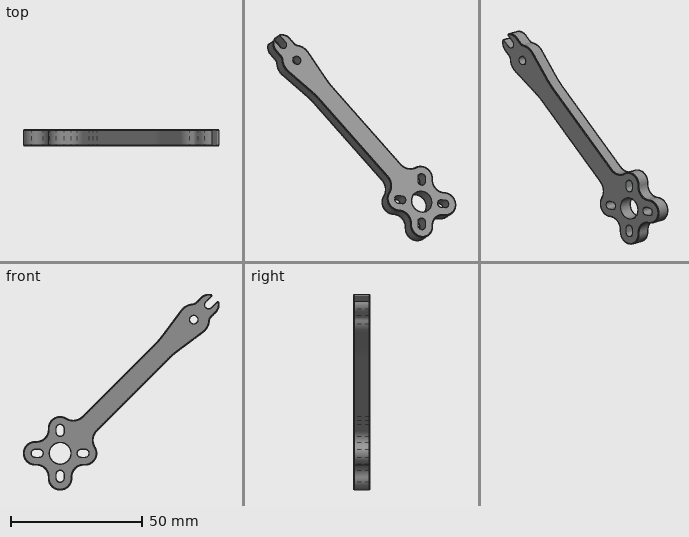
import cadquery as cq
import math

THICKNESS = 6.2
EDGE_CHAMFER = 0.3

TOLERANCE = 1e-6

LOBE_CENTRE = 9.5
LOBE_RADIUS = 4.5
VALLEY_RADIUS = 4.5
HUB_BORE_DIAMETER = 8.2
HUB_SLOT_INNER_CENTRE = 8.0
HUB_SLOT_OUTER_CENTRE = LOBE_CENTRE
HUB_SLOT_WIDTH = 3.0

NEAR_LOBE = 45.0
FAR_LOBE = 135.0
LOBE_DIRECTIONS = (NEAR_LOBE, FAR_LOBE, -FAR_LOBE, -NEAR_LOBE)

ARM_ANGLE = 45.0
ARM_HALF_WIDTH = 3.9
ARM_ROOT_RADIUS = 5.0
TAPER_START = 57.2
TAPER_BLEND_RADIUS = 30.0

HEAD_CENTRE = 72.0
HEAD_RADIUS = 6.0
HEAD_HOLE_DIAMETER = 3.2
NECK_RADIUS = 2.0

FORK_CENTRE = 80.0
FORK_RADIUS = 4.0
FORK_SLOT_WIDTH = 3.0
FORK_TIP_RADIUS = 0.4


def arm_plane():
    """Plane of the +Y face; local x runs along the arm and local y across it."""
    angle = math.radians(ARM_ANGLE)
    along = (math.cos(angle), 0, math.sin(angle))
    return cq.Plane(origin=(0, THICKNESS / 2, 0), xDir=along, normal=(0, -1, 0))


def prism(sketch):
    """Full-thickness solid from a closed sketch on the arm plane."""
    return sketch.extrude(THICKNESS)


def polar(centre, radius, degrees):
    """Point at the given radius and direction from a centre."""
    angle = math.radians(degrees)
    return (centre[0] + radius * math.cos(angle), centre[1] + radius * math.sin(angle))


def across_axis(point):
    """Mirror image of a point across the arm axis."""
    return (point[0], -point[1])


def hub_arcs():
    """Arcs of the hub on the +y side of the arm axis, from the back valley to the arm root.

    Every arc is (centre, radius, start direction, end direction).
    """
    near_lobe = polar((0, 0), LOBE_CENTRE, NEAR_LOBE)
    far_lobe = polar((0, 0), LOBE_CENTRE, FAR_LOBE)

    valley_distance = (LOBE_RADIUS + VALLEY_RADIUS) * math.sqrt(2)
    back_valley = (-valley_distance, 0)
    side_valley = (0, valley_distance)

    root_y = ARM_HALF_WIDTH + ARM_ROOT_RADIUS
    root_rise = root_y - near_lobe[1]
    root_direction = math.degrees(math.asin(root_rise / (LOBE_RADIUS + ARM_ROOT_RADIUS)))
    root = polar(near_lobe, LOBE_RADIUS + ARM_ROOT_RADIUS, root_direction)

    return [
        (back_valley, VALLEY_RADIUS, 0, 45),
        (far_lobe, LOBE_RADIUS, 225, 45),
        (side_valley, VALLEY_RADIUS, 225, 315),
        (near_lobe, LOBE_RADIUS, 135, root_direction),
        (root, ARM_ROOT_RADIUS, root_direction + 180, 270),
    ]


def head_arcs():
    """Arcs of the head and fork on the +y side of the arm axis, from the taper to the tip."""
    head = (HEAD_CENTRE, 0)
    fork = (FORK_CENTRE, 0)

    taper_run = HEAD_CENTRE - TAPER_START
    head_distance = math.hypot(taper_run, ARM_HALF_WIDTH)
    head_dip = math.atan2(ARM_HALF_WIDTH, taper_run)
    taper_slope = math.asin(HEAD_RADIUS / head_distance) - head_dip
    blend_length = TAPER_BLEND_RADIUS * math.tan(taper_slope / 2)
    blend = (TAPER_START - blend_length, ARM_HALF_WIDTH + TAPER_BLEND_RADIUS)
    taper_degrees = math.degrees(taper_slope)

    neck_distance = HEAD_RADIUS + NECK_RADIUS
    neck_direction = math.degrees(math.asin((FORK_RADIUS + NECK_RADIUS) / neck_distance))
    neck = polar(head, neck_distance, neck_direction)

    return [
        (blend, TAPER_BLEND_RADIUS, 270, 270 + taper_degrees),
        (head, HEAD_RADIUS, 90 + taper_degrees, neck_direction),
        (neck, NECK_RADIUS, neck_direction + 180, 270),
        (fork, FORK_RADIUS, 90, 0),
    ]


def mirrored(arc):
    """The same arc on the other side of the arm axis, travelled backwards."""
    centre, radius, start, end = arc
    return (across_axis(centre), radius, -end, -start)


def make_blank():
    """Chamfered plate with the outer outline, the arcs being joined by straight lines."""
    half = hub_arcs() + head_arcs()
    arcs = half + [mirrored(arc) for arc in reversed(half)]
    first_centre, first_radius, first_start, _ = arcs[0]
    position = polar(first_centre, first_radius, first_start)
    sketch = cq.Workplane(arm_plane()).moveTo(*position)
    for centre, radius, start, end in arcs:
        arc_start = polar(centre, radius, start)
        if math.dist(position, arc_start) > TOLERANCE:
            sketch = sketch.lineTo(*arc_start)
        position = polar(centre, radius, end)
        sketch = sketch.threePointArc(polar(centre, radius, (start + end) / 2), position)
    return prism(sketch.close()).faces("<Y or >Y").chamfer(EDGE_CHAMFER)


def round_hole(distance, diameter):
    """Through hole on the arm axis."""
    return prism(cq.Workplane(arm_plane()).center(distance, 0).circle(diameter / 2))


def hub_slots():
    """One radial through slot in each lobe."""
    length = HUB_SLOT_OUTER_CENTRE - HUB_SLOT_INNER_CENTRE + HUB_SLOT_WIDTH
    middle = (HUB_SLOT_INNER_CENTRE + HUB_SLOT_OUTER_CENTRE) / 2
    slots = cq.Workplane(arm_plane())
    for direction in LOBE_DIRECTIONS:
        slot = cq.Workplane(arm_plane()).center(*polar((0, 0), middle, direction))
        slots = slots.add(prism(slot.slot2D(length, HUB_SLOT_WIDTH, direction)))
    return slots.combine()


def fork_slot():
    """Round-bottomed slot along the arm axis whose mouth flares around the two rounded tips."""
    wall = FORK_SLOT_WIDTH / 2
    tip_distance = FORK_RADIUS - FORK_TIP_RADIUS
    tip_direction = math.degrees(math.asin((wall + FORK_TIP_RADIUS) / tip_distance))
    tip = polar((FORK_CENTRE, 0), tip_distance, tip_direction)
    tip_middle = polar(tip, FORK_TIP_RADIUS, (tip_direction - 90) / 2)
    tip_end = polar(tip, FORK_TIP_RADIUS, tip_direction)
    mouth_x = FORK_CENTRE + FORK_RADIUS
    sketch = (
        cq.Workplane(arm_plane())
        .moveTo(FORK_CENTRE, wall)
        .threePointArc((FORK_CENTRE - wall, 0), (FORK_CENTRE, -wall))
        .lineTo(tip[0], -wall)
        .threePointArc(across_axis(tip_middle), across_axis(tip_end))
        .lineTo(mouth_x, -tip_end[1])
        .lineTo(mouth_x, tip_end[1])
        .lineTo(*tip_end)
        .threePointArc(tip_middle, (tip[0], wall))
        .close()
    )
    return prism(sketch)


result = (
    make_blank()
    .cut(round_hole(0, HUB_BORE_DIAMETER))
    .cut(hub_slots())
    .cut(round_hole(HEAD_CENTRE, HEAD_HOLE_DIAMETER))
    .cut(fork_slot())
)